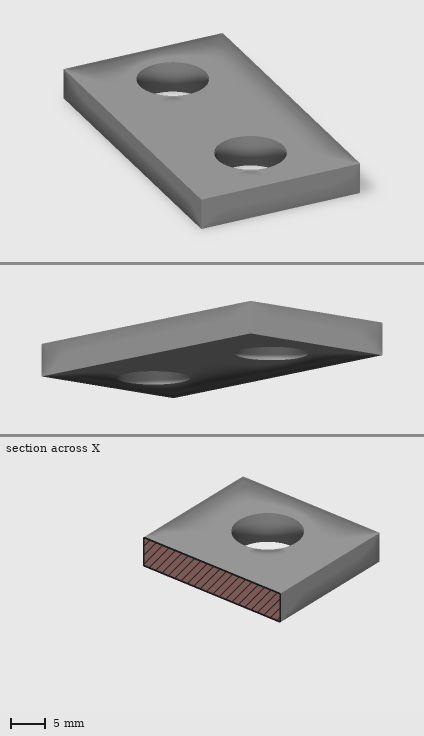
import cadquery as cq

plate_length = 44.95
plate_width = 25.4
plate_thickness = 4.75

hole_diameter = 10.45
hole_spacing = 25.4
first_hole_from_end = 9.65

plate = cq.Workplane("XY").box(plate_length, plate_width, plate_thickness)

first_hole_x = -plate_length / 2 + first_hole_from_end
hole_centers = [(first_hole_x, 0), (first_hole_x + hole_spacing, 0)]
result = plate.faces(">Z").workplane().pushPoints(hole_centers).hole(hole_diameter)